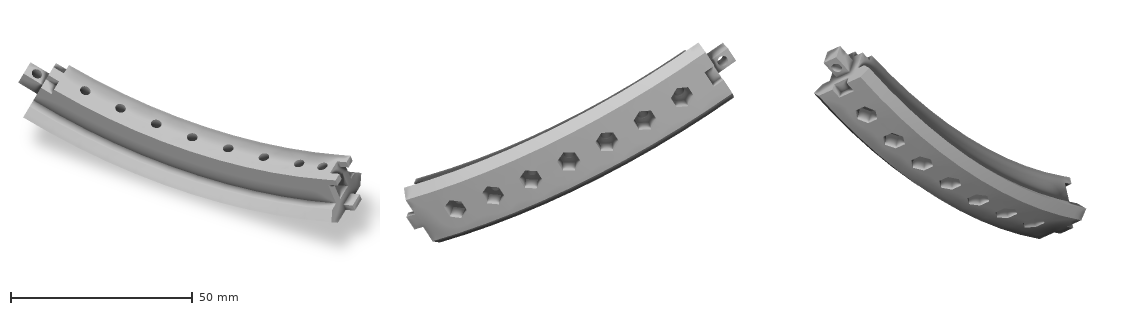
import cadquery as cq

OUTER_RADIUS = 140.0
HALF_ANGLE = 19.85

FLANGE_WIDTH = 20.0
FLANGE_HEIGHT = 5.0
FLANGE_BEVEL = FLANGE_HEIGHT / 2
WEB_WIDTH = 10.0
RAIL_HEIGHT = 14.0

CLEARANCE = 0.3

TONGUE_LENGTH = 6.1
TONGUE_WIDTH = 4.6
TONGUE_BASE = 4.8
TONGUE_TOP = 9.6

TAB_LENGTH = 3.0
TAB_WIDTH = 4.6
TAB_HEIGHT = 1.9

PRONG_WIDTH = 2.7
PRONG_LENGTH = 3.1
PRONG_HEIGHT = 1.9
NOTCH_WIDTH = 3.4

HOLE_DIAMETER = 3.0
HOLES_EACH_SIDE = 3
HOLE_PITCH_ANGLE = HALF_ANGLE / (HOLES_EACH_SIDE + 1)
NUT_CORNERS = 6.5
NUT_DEPTH = 4.6
TONGUE_HOLE_INSET = 3.0
JOINT_HOLE_INSET = 3.6

OVERLAP = 0.5
OVERRUN = 1.0


def swing(solid, angle):
    """Turn a solid about the rail axis; positive angles move it towards +X."""
    centre = (0, 0, OUTER_RADIUS)
    return solid.rotate(centre, (0, 1, OUTER_RADIUS), -angle)


def block(x_start, x_end, y_centre, width, z_low, z_high):
    """Box given by its extents, before it is swung to an end face."""
    size = (x_end - x_start, width, z_high - z_low)
    corner = (x_start, y_centre - width / 2, z_low)
    return cq.Workplane("XY").box(*size, centered=False).translate(corner)


def rail():
    half_flange = FLANGE_WIDTH / 2
    half_web = WEB_WIDTH / 2
    half_section = [
        (half_flange - FLANGE_BEVEL, 0),
        (half_flange, FLANGE_BEVEL),
        (half_flange - FLANGE_BEVEL, FLANGE_HEIGHT),
        (half_web, FLANGE_HEIGHT),
        (half_web, RAIL_HEIGHT),
    ]
    mirrored = [(-y, z) for y, z in reversed(half_section)]
    section = cq.Workplane("YZ").polyline(half_section + mirrored).close()
    body = section.revolve(2 * HALF_ANGLE, (0, OUTER_RADIUS), (1, OUTER_RADIUS))
    return swing(body, HALF_ANGLE)


def drill(x, z_low, z_high):
    """Cylinder of the screw hole diameter, before it is swung into place."""
    circle = cq.Workplane("XY", origin=(x, 0, z_low)).circle(HOLE_DIAMETER / 2)
    return circle.extrude(z_high - z_low)


def screw_hole(angle):
    """Cutter for a radial through hole with a nut recess, corners along Y."""
    hole = drill(0, 0, RAIL_HEIGHT + OVERRUN)
    hexagon = cq.Workplane("XY", origin=(0, 0, -OVERRUN)).polygon(6, NUT_CORNERS)
    recess = hexagon.extrude(NUT_DEPTH + OVERRUN).rotate((0, 0, 0), (0, 0, 1), 90)
    return swing(hole.union(recess), angle)


def prong_places(width):
    """Y centres of two blocks of this width flush with the web sides."""
    offset = (WEB_WIDTH - width) / 2
    return (-offset, offset)


def add_plug_end(body):
    """-X end: tongue with a hole, notches for prongs, slot for a tab."""
    tongue = block(-TONGUE_LENGTH, OVERLAP, 0, TONGUE_WIDTH, TONGUE_BASE, TONGUE_TOP)
    tongue = tongue.cut(drill(-TONGUE_HOLE_INSET, 0, RAIL_HEIGHT))
    body = body.union(swing(tongue, -HALF_ANGLE))

    notch_floor = RAIL_HEIGHT - PRONG_HEIGHT - CLEARANCE
    notch_depth = PRONG_LENGTH + CLEARANCE
    for y in prong_places(NOTCH_WIDTH):
        notch = block(-OVERRUN, notch_depth, y, NOTCH_WIDTH, notch_floor, RAIL_HEIGHT + OVERRUN)
        body = body.cut(swing(notch, -HALF_ANGLE))

    slot_width = TAB_WIDTH + 2 * CLEARANCE
    slot_depth = TAB_LENGTH + CLEARANCE
    slot_top = TAB_HEIGHT + CLEARANCE
    slot = block(-OVERRUN, slot_depth, 0, slot_width, -OVERRUN, slot_top)
    return body.cut(swing(slot, -HALF_ANGLE))


def add_socket_end(body):
    """+X end: prongs, lower tab, pocket for a tongue and its joining screw hole."""
    for y in prong_places(PRONG_WIDTH):
        prong_base = RAIL_HEIGHT - PRONG_HEIGHT
        prong = block(-OVERLAP, PRONG_LENGTH, y, PRONG_WIDTH, prong_base, RAIL_HEIGHT)
        body = body.union(swing(prong, HALF_ANGLE))
    tab = block(-OVERLAP, TAB_LENGTH, 0, TAB_WIDTH, 0, TAB_HEIGHT)
    body = body.union(swing(tab, HALF_ANGLE))

    pocket_start = -TONGUE_LENGTH - CLEARANCE
    pocket_width = TONGUE_WIDTH + 2 * CLEARANCE
    pocket_floor = TONGUE_BASE - CLEARANCE
    pocket = block(pocket_start, OVERRUN, 0, pocket_width, pocket_floor, TONGUE_TOP)
    body = body.cut(swing(pocket, HALF_ANGLE))

    pocket_middle = (pocket_floor + TONGUE_TOP) / 2
    hole = drill(-JOINT_HOLE_INSET, pocket_middle, RAIL_HEIGHT + OVERRUN)
    return body.cut(swing(hole, HALF_ANGLE))


result = add_socket_end(add_plug_end(rail()))
for step in range(-HOLES_EACH_SIDE, HOLES_EACH_SIDE + 1):
    result = result.cut(screw_hole(step * HOLE_PITCH_ANGLE))